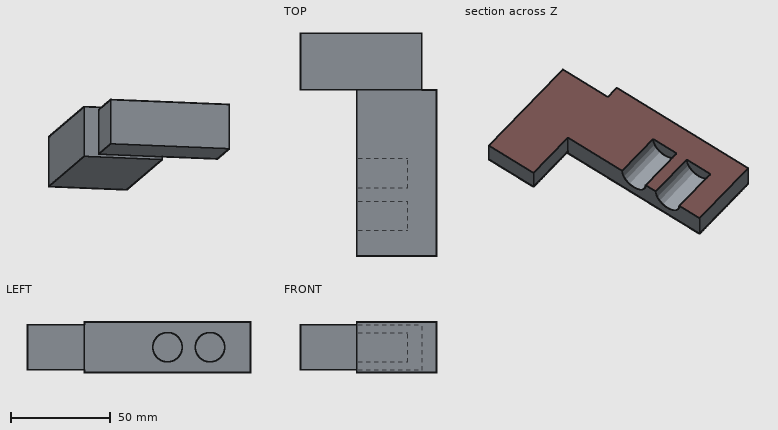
import cadquery as cq

main_width = 40.13
main_length = 83.31
main_height = 25.4

overall_width = 68.33
overall_length = 111.76
end_width = 60.96
end_height = 22.61
end_length = overall_length - main_length
end_overhang = overall_width - main_width

hole_diameter = 14.73
hole_depth = 25.4
hole_spacing = 21.3
first_hole_y = 20.3


def make_main_block():
    return cq.Workplane("XY").box(
        main_width, main_length, main_height, centered=(False, False, True)
    )


def make_end_block():
    block = cq.Workplane("XY").box(
        end_width, end_length, end_height, centered=(False, False, True)
    )
    return block.translate((-end_overhang, main_length, 0))


def make_side_holes():
    hole_centers = [(first_hole_y, 0), (first_hole_y + hole_spacing, 0)]
    return (
        cq.Workplane("YZ")
        .pushPoints(hole_centers)
        .circle(hole_diameter / 2)
        .extrude(hole_depth)
    )


result = make_main_block().union(make_end_block()).cut(make_side_holes())